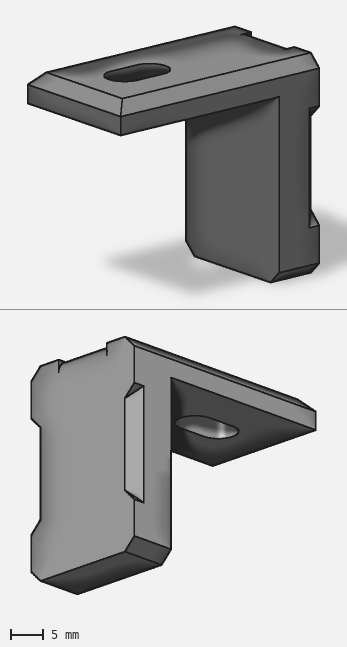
import cadquery as cq

width = 22.0
length = 39.5
height = 35.0
plate_thickness = 5.0
leg_thickness = 8.0
chamfer = 2.0

slot_width = 6.2
slot_length = 11.2
slot_center_from_front = 12.52

relief_width = 10.2
relief_radius = 2.0

grip_depth = 2.0
grip_top = -8.0
grip_bottom = -27.0


def bracket_body():
    """L-shaped body with chamfered sides and front edge."""
    body = (
        cq.Workplane("YZ")
        .polyline([
            (0, 0),
            (chamfer - length, 0),
            (-length, -chamfer),
            (-length, -plate_thickness),
            (-leg_thickness, -plate_thickness),
            (-leg_thickness, -height),
            (0, -height),
        ])
        .close()
        .extrude(width / 2, both=True)
    )
    envelope = (
        cq.Workplane("XY")
        .box(width, length, height)
        .edges("|Y")
        .chamfer(chamfer)
        .translate((0, -length / 2, -height / 2))
    )
    return body.intersect(envelope)


def mounting_slot():
    """Cutter for the obround slot, running along Y."""
    return (
        cq.Workplane("XY")
        .center(0, slot_center_from_front - length)
        .slot2D(slot_length, slot_width, 90)
        .extrude(-plate_thickness)
    )


def edge_relief():
    """Cutter that rounds the middle of the top back edge."""
    return (
        cq.Workplane("YZ")
        .moveTo(-relief_radius, 0)
        .lineTo(0, 0)
        .lineTo(0, -relief_radius)
        .radiusArc((-relief_radius, 0), -relief_radius)
        .close()
        .extrude(relief_width / 2, both=True)
    )


def stopped_chamfer(side):
    """Cutter for a back-edge chamfer with sloped ends; side is -1 or 1 along X."""
    edge_x = side * width / 2
    inner_x = edge_x - side * grip_depth
    bevel = (
        cq.Workplane("XY")
        .polyline([(edge_x, 0), (inner_x, 0), (edge_x, -grip_depth)])
        .close()
        .extrude(-height)
    )
    span = (
        cq.Workplane("XZ")
        .polyline([
            (edge_x, grip_top),
            (inner_x, grip_top - grip_depth),
            (inner_x, grip_bottom + grip_depth),
            (edge_x, grip_bottom),
        ])
        .close()
        .extrude(grip_depth)
    )
    return bevel.intersect(span)


result = bracket_body().cut(mounting_slot()).cut(edge_relief())
for side in (-1, 1):
    result = result.cut(stopped_chamfer(side))